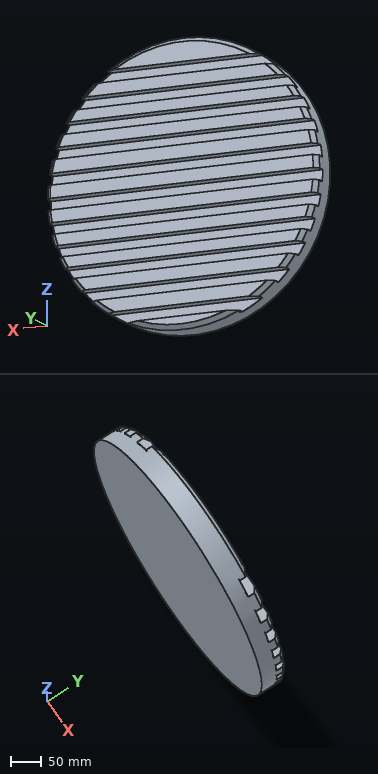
import cadquery as cq

disc_diameter = 500.0
disc_thickness = 50.0
rim_chamfer = 8.0

groove_width = 20.0
groove_depth = 20.0
groove_heights = [197.5, 156.0, 116.5, 75.5, 32.0, -10.5, -52.5, -93.0, -132.5, -174.5, -218.0]


def make_disc():
    """Round plate from Y = 0 to Y = disc_thickness with a chamfered +Y rim."""
    disc = cq.Workplane("XZ").circle(disc_diameter / 2).extrude(-disc_thickness)
    return disc.faces(">Y").chamfer(rim_chamfer)


def make_groove(height):
    """Cutter for one full-width groove centred at the given Z height."""
    floor_y = disc_thickness - groove_depth
    return (
        cq.Workplane("XY")
        .box(disc_diameter, groove_depth, groove_width, centered=(True, False, True))
        .translate((0, floor_y, height))
    )


result = make_disc()
for groove_height in groove_heights:
    result = result.cut(make_groove(groove_height))